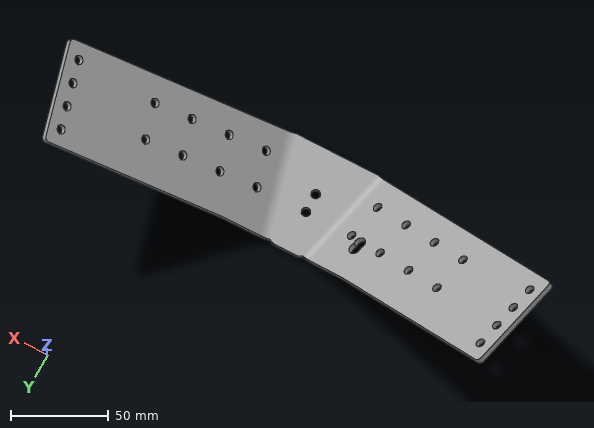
import cadquery as cq
import math

thickness = 3.5
bend_radius = 8.5
bend_angle = 35.0
sweep_angle = 14.0

plate_half_front = 23.7
plate_half_back = 7.0
plate_depth = 57.5
plate_hole_y = (24.0, 34.7)

arm_length = 140.0
arm_width = 56.5
taper_end = 48.5
root_widening = 1.7

hole_diameter = 4.8
grid_start = 9.3
grid_pitch = 24.0
grid_columns = 4
grid_across = (8.8, 28.8)
end_row_out = 132.0
end_row_start = 3.7
end_row_pitch = 12.7
end_row_count = 4
double_hole_diameter = 6.8
double_hole_spacing = 3.5
double_hole_out = 17.5
double_hole_across = 32.0
corner_radius = 2.5

bend = math.radians(bend_angle)
sweep = math.radians(sweep_angle)
bend_start = plate_half_front * math.cos(sweep)
arm_front = -plate_half_front * math.sin(sweep)
arm_back = arm_front + arm_width
margin = 84.7


def on_arc(radius, angle):
    """Point on a bend arc, as distance out and height."""
    return (
        bend_start + radius * math.sin(angle),
        thickness + bend_radius - radius * math.cos(angle),
    )


def along_arm(point, distance):
    """Point moved up along the arm slope."""
    return (point[0] + distance * math.cos(bend), point[1] + distance * math.sin(bend))


def plan_point(out, across):
    """Turn arm directions into X and Y."""
    return (
        out * math.cos(sweep) - across * math.sin(sweep),
        out * math.sin(sweep) + across * math.cos(sweep),
    )


def turn_to_arm(body):
    """Turn a body modelled with its arm along X to the swept direction."""
    return body.rotate((0, 0, 0), (0, 0, 1), sweep_angle)


def bent_sheet():
    """Plate, bend and arm section, drawn along the bend line."""
    outer_radius = bend_radius + thickness
    outer_end = on_arc(outer_radius, bend)
    inner_end = on_arc(bend_radius, bend)
    section = (
        cq.Workplane("XZ")
        .moveTo(-margin, 0)
        .lineTo(bend_start, 0)
        .threePointArc(on_arc(outer_radius, bend / 2), outer_end)
        .lineTo(*along_arm(outer_end, arm_length))
        .lineTo(*along_arm(inner_end, arm_length))
        .lineTo(*inner_end)
        .threePointArc(on_arc(bend_radius, bend / 2), (bend_start, thickness))
        .lineTo(-margin, thickness)
        .close()
    )
    return turn_to_arm(section.extrude(margin, both=True))


def half_outline():
    """Vertical prism with the plan outline of the right half."""
    beyond_end = bend_start + arm_length + margin
    return (
        cq.Workplane("XY")
        .polyline([
            (0, 0),
            (plate_half_front, 0),
            plan_point(beyond_end, arm_front),
            plan_point(beyond_end, arm_back),
            plan_point(taper_end, arm_back),
            plan_point(bend_start, arm_back + root_widening),
            (plate_half_back, plate_depth),
            (0, plate_depth),
        ])
        .close()
        .extrude(2 * margin)
    )


def arm_drills(centres, diameter):
    """Cylinders square to the right arm at (out, across) centres."""
    root = on_arc(bend_radius + thickness / 2, bend)
    plane = cq.Plane(
        origin=(root[0], 0, root[1]),
        xDir=(math.cos(bend), 0, math.sin(bend)),
        normal=(-math.sin(bend), 0, math.cos(bend)),
    )
    drills = cq.Workplane(plane).pushPoints(centres).circle(diameter / 2).extrude(thickness, both=True)
    return turn_to_arm(drills)


def round_end_corners(half):
    """Round the two corners at the free end of the arm."""
    normal_x, normal_y = plan_point(-math.sin(bend), 0)
    normal = cq.Vector(normal_x, normal_y, math.cos(bend))
    edges = half.edges(cq.selectors.ParallelDirSelector(normal))
    return edges.edges(">>Z[-1] or >>X[-1]").fillet(corner_radius)


grid = [
    (grid_start + column * grid_pitch, across)
    for column in range(grid_columns)
    for across in grid_across
]
end_row = [(end_row_out, end_row_start + i * end_row_pitch) for i in range(end_row_count)]
double_hole = [
    (double_hole_out, double_hole_across + side * double_hole_spacing / 2)
    for side in (-1, 1)
]

half = round_end_corners(bent_sheet().intersect(half_outline()))
half = half.cut(arm_drills(grid + end_row, hole_diameter))
bracket = half.union(half.mirror("YZ")).clean()

bracket = bracket.cut(arm_drills(double_hole, double_hole_diameter).mirror("YZ"))

plate_drills = (
    cq.Workplane("XY")
    .pushPoints([(0, y) for y in plate_hole_y])
    .circle(hole_diameter / 2)
    .extrude(thickness)
)
result = bracket.cut(plate_drills)